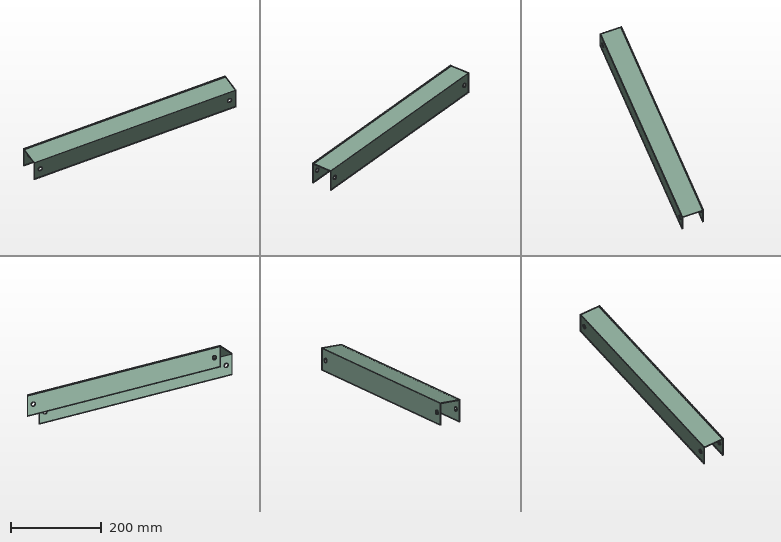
import cadquery as cq

length = 500.0
width = 51.0
height = 51.0
wall = 2.0

hole_diameter = 10.0
hole_end_distance = 15.0
hole_height = height / 2


def make_channel():
    outer = cq.Workplane("XY").box(width, length, height, centered=(True, True, False))
    inner_width = width - 2 * wall
    cavity = cq.Workplane("XY").box(inner_width, length, height - wall, centered=(True, True, False))
    return outer.cut(cavity)


def make_bolt_holes():
    hole_y = length / 2 - hole_end_distance
    return (
        cq.Workplane("YZ")
        .pushPoints([(-hole_y, hole_height), (hole_y, hole_height)])
        .circle(hole_diameter / 2)
        .extrude(width / 2, both=True)
    )


result = make_channel().cut(make_bolt_holes())